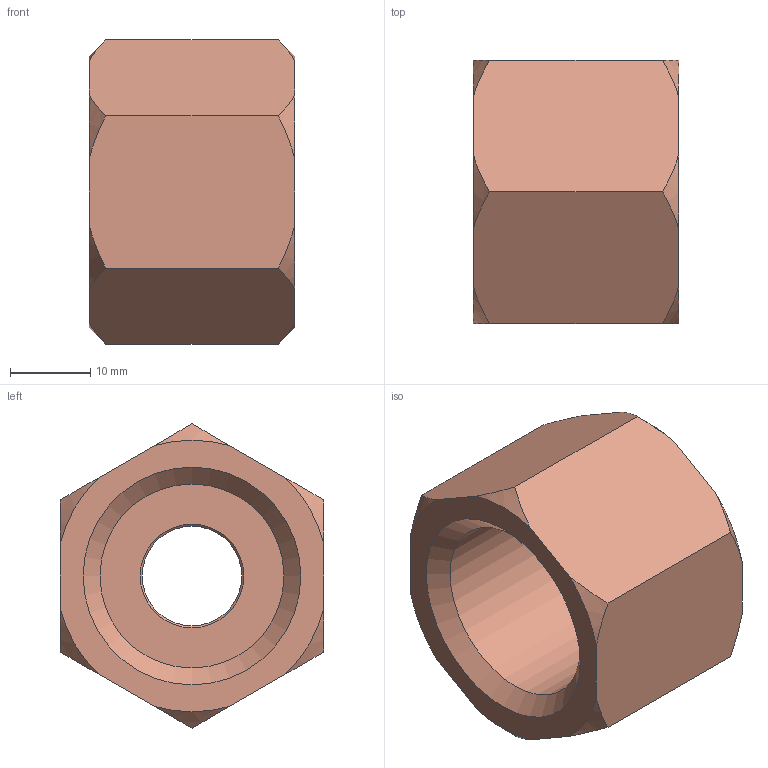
import cadquery as cq
import math

length = 25.63
across_flats = 32.81
corner_radius = across_flats / math.sqrt(3)

corner_chamfer = 2.05
end_face_radius = corner_radius - corner_chamfer

bore_radius = 11.45
mouth_radius = 13.55
bore_depth = 20.0

hole_radius = 6.2
hole_lead_in = 0.25

half_length = length / 2
mouth_x = -half_length
floor_x = mouth_x + bore_depth


def revolve_about_x(profile):
    """Turn (x, radius) points into a solid of revolution about the X axis."""
    return cq.Workplane("XY").polyline(profile).close().revolve(360, (0, 0, 0), (1, 0, 0))


def hexagon_prism():
    """Hexagonal bar along X with corners pointing to +Z and -Z."""
    angles = [math.radians(90 + 60 * side) for side in range(6)]
    corners = [(corner_radius * math.cos(a), corner_radius * math.sin(a)) for a in angles]
    return cq.Workplane("YZ").polyline(corners).close().extrude(half_length, both=True)


def corner_trimming_envelope():
    """Round blank with conical ends; only material inside it is kept."""
    blank_radius = corner_radius + corner_chamfer
    cone_length = blank_radius - end_face_radius
    return revolve_about_x([
        (-half_length, 0),
        (-half_length, end_face_radius),
        (-half_length + cone_length, blank_radius),
        (half_length - cone_length, blank_radius),
        (half_length, end_face_radius),
        (half_length, 0),
    ])


def stepped_bore():
    """Countersink, bore, lead-in and through hole as one turned cutter."""
    return revolve_about_x([
        (mouth_x, 0),
        (mouth_x, mouth_radius),
        (mouth_x + mouth_radius - bore_radius, bore_radius),
        (floor_x, bore_radius),
        (floor_x, hole_radius + hole_lead_in),
        (floor_x + hole_lead_in, hole_radius),
        (half_length, hole_radius),
        (half_length, 0),
    ])


result = hexagon_prism().intersect(corner_trimming_envelope()).cut(stepped_bore())